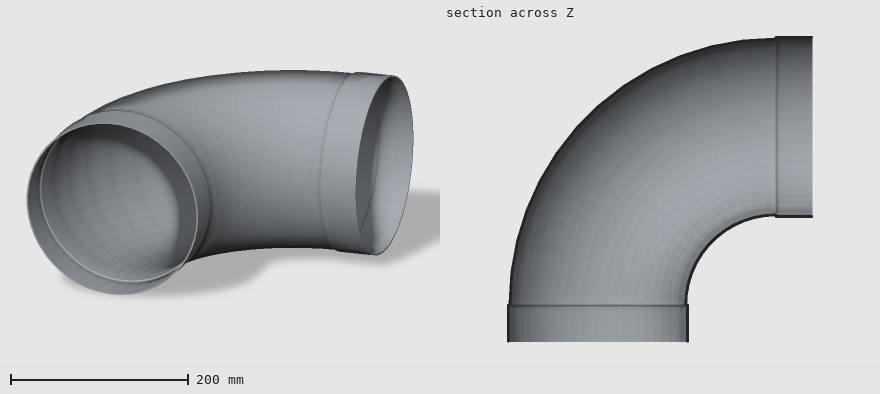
import cadquery as cq

overall_length = 343.5
collar_diameter = 203.8
pipe_diameter = 200.0
pipe_bore = 196.2
bend_radius = 200.0
lip_length = 2.0

collar_bore = pipe_diameter
collar_length = overall_length - bend_radius - collar_diameter / 2


def bend(diameter):
    """Solid quarter torus from the -X side round to the +Y side."""
    return (
        cq.Workplane("XZ")
        .center(-bend_radius, 0)
        .circle(diameter / 2)
        .revolve(90, (bend_radius, 0, 0), (bend_radius, -1, 0))
    )


def front_plane(distance):
    """Workplane facing -Y, the given distance past the front end of the bend."""
    return cq.Workplane("XZ", origin=(-bend_radius, -distance, 0))


def side_plane(distance):
    """Workplane facing +X, the given distance past the side end of the bend."""
    return cq.Workplane("YZ", origin=(distance, bend_radius, 0))


def collar(end_plane):
    """Solid collar cylinder starting at the end of the bend."""
    return end_plane(0).circle(collar_diameter / 2).extrude(collar_length)


def socket(end_plane):
    """Cone widening from the pipe bore, followed by the straight socket bore."""
    cone = (
        end_plane(0)
        .circle(pipe_bore / 2)
        .workplane(offset=lip_length)
        .circle(collar_bore / 2)
        .loft()
    )
    straight = end_plane(lip_length).circle(collar_bore / 2).extrude(collar_length - lip_length)
    return cone.union(straight)


outside = bend(pipe_diameter)
for end_plane in (front_plane, side_plane):
    outside = outside.union(collar(end_plane))

result = outside.cut(bend(pipe_bore))
for end_plane in (front_plane, side_plane):
    result = result.cut(socket(end_plane))